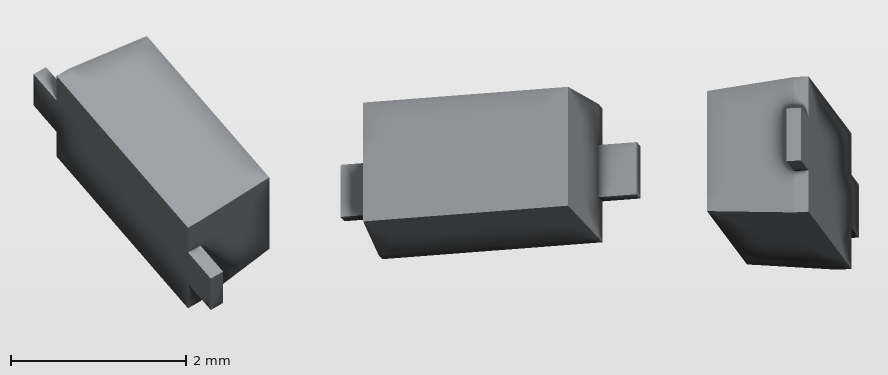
import cadquery as cq
import math

overall_length = 3.5
housing_length = 2.6
housing_height = 1.6
housing_depth = 1.2
base_depth = 0.17
draft_angle = 5.0
lead_width = 0.623

lead_thickness = base_depth
lead_length = (overall_length - housing_length) / 2
lead_center_x = (housing_length + lead_length) / 2
taper_depth = housing_depth - base_depth
taper_inset = taper_depth * math.tan(math.radians(draft_angle))


def make_housing():
    """Moulded block: a straight base, then a taper toward +Y."""
    base = cq.Workplane("XZ").rect(housing_length, housing_height).extrude(-base_depth)
    taper = (
        cq.Workplane("XZ", origin=(0, base_depth, 0))
        .rect(housing_length, housing_height)
        .workplane(offset=-taper_depth)
        .rect(housing_length - 2 * taper_inset, housing_height - 2 * taper_inset)
        .loft(ruled=True)
    )
    return base.union(taper).solids()


def make_lead(side):
    """Flat lead butting against an end of the housing; side is -1 or +1 along X."""
    return (
        cq.Workplane("XZ", origin=(side * lead_center_x, 0, 0))
        .rect(lead_length, lead_width)
        .extrude(-lead_thickness)
    )


housing = make_housing()
leads = [make_lead(side) for side in (-1, 1)]

result = cq.Compound.makeCompound([housing.val(), *[lead.val() for lead in leads]])